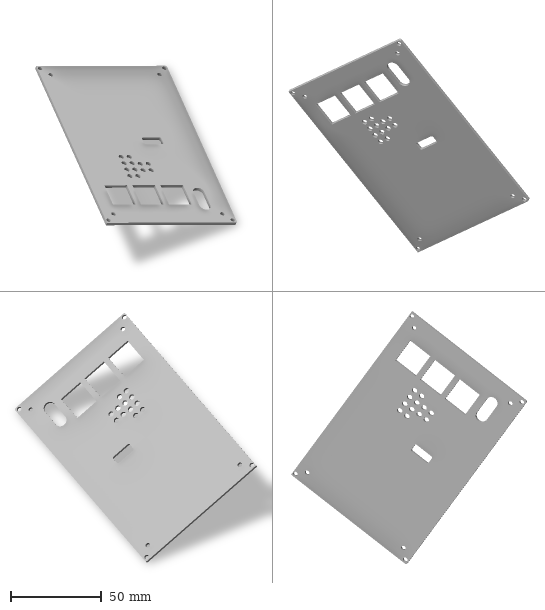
import cadquery as cq

panel_width = 121.3
panel_length = 80.8
panel_thickness = 2.0
tilt_angle = 20.0
low_corner_radius = 1.0

screw_diameter = 2.5
corner_half_spacing = 58.7
corner_low_inset = 2.1
corner_high_inset = 1.7
inner_half_spacing = 53.9
inner_low_inset = 6.8
inner_high_inset = 6.5

slot_length = 16.9
slot_height = 6.8
slot_x = 42.2
slot_inset = 15.3

port_width = 5.0
port_height = 12.0
port_corner_radius = 1.0
port_x = -2.7
port_inset = 29.6

window_width = 15.0
window_height = 14.1
window_x = 39.2
window_first_inset = 30.2
window_pitch = 17.3
window_count = 3

grid_diameter = 3.0
grid_pitch = 5.0
grid_rows = 2
narrow_columns = 2
narrow_x = 17.6
narrow_first_inset = 38.7
wide_columns = 4
wide_x = 17.1
wide_first_inset = 48.5


def from_low_edge(inset):
    """Y position at a distance from the low edge."""
    return panel_length / 2 - inset


def screw_points(half_spacing, low_inset, high_inset):
    """Four points mirrored across the panel's centre line."""
    rows = (from_low_edge(low_inset), from_low_edge(panel_length - high_inset))
    return [(side * half_spacing, y) for side in (-1, 1) for y in rows]


def grid_points(columns, center_x, first_inset):
    """Hole block centred on center_x, with rows going away from the low edge."""
    first_x = center_x - (columns - 1) * grid_pitch / 2
    return [
        (first_x + column * grid_pitch, from_low_edge(first_inset + row * grid_pitch))
        for column in range(columns)
        for row in range(grid_rows)
    ]


def cutter(points):
    """Start of a through cut at the given points on the upper face."""
    return cq.Workplane("XY").pushPoints(points)


def make_blank():
    blank = cq.Workplane("XY").box(
        panel_width, panel_length, panel_thickness, centered=(True, True, False)
    )
    blank = blank.translate((0, 0, -panel_thickness))
    return blank.faces(">Y").edges("|Z").fillet(low_corner_radius)


def make_round_holes():
    screws = screw_points(corner_half_spacing, corner_low_inset, corner_high_inset)
    screws += screw_points(inner_half_spacing, inner_low_inset, inner_high_inset)
    grid = grid_points(narrow_columns, narrow_x, narrow_first_inset)
    grid += grid_points(wide_columns, wide_x, wide_first_inset)
    screw_holes = cutter(screws).circle(screw_diameter / 2).extrude(-panel_thickness)
    grid_holes = cutter(grid).circle(grid_diameter / 2).extrude(-panel_thickness)
    return screw_holes.add(grid_holes).combine()


def make_slot():
    center = (slot_x, from_low_edge(slot_inset))
    return cutter([center]).slot2D(slot_length, slot_height).extrude(-panel_thickness)


def make_port():
    center = (port_x, from_low_edge(port_inset))
    port = cutter([center]).rect(port_width, port_height).extrude(-panel_thickness)
    return port.edges("|Z").fillet(port_corner_radius)


def make_windows():
    centers = [
        (window_x, from_low_edge(window_first_inset + index * window_pitch))
        for index in range(window_count)
    ]
    return cutter(centers).rect(window_width, window_height).extrude(-panel_thickness)


panel = make_blank()
for cut in (make_round_holes(), make_slot(), make_port(), make_windows()):
    panel = panel.cut(cut)

result = panel.rotate((0, 0, 0), (1, 0, 0), -tilt_angle)